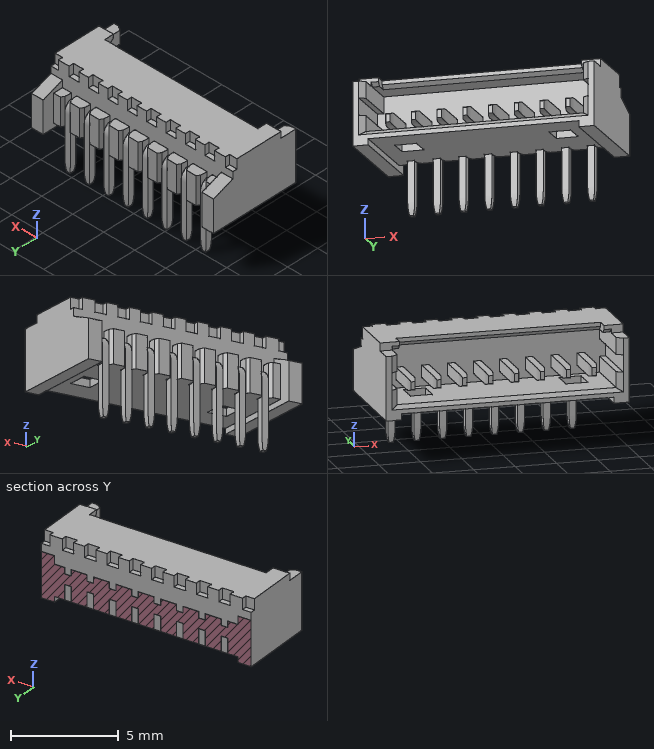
import cadquery as cq
import math


width = 11.75
depth = 5.5
height = 3.5
overall_height = 5.8
shoulder_height = 3.11
shoulder_depth = 1.0
rear_wall_y = 4.21
ear_slope_bottom = 2.01
ear_slope_top = 2.48
foot_width = 0.75
foot_height = 0.29

ledge_y = 4.79
ledge_top = 2.03

side_wall = 0.29
rib_thickness = 0.29
rib_inset = side_wall + rib_thickness
groove_bottom = 1.47
groove_top = 2.3
floor_z = 0.7
cavity_back_y = 2.94
edge_chamfer = 0.19
roof_recess_inset = 0.94
roof_recess_depth = 1.57

pin_count = 8
pin_span = 8.75
pitch = pin_span / (pin_count - 1)
pin_width = 0.35
pin_height = 0.6
pin_bottom = 1.12
pin_top = pin_bottom + pin_height
pin_front_y = 0.68
pin_taper = 0.41
pin_tip_width = 0.2
pin_tip_height = 0.38
leg_rear_y = 4.64
leg_thickness = 0.38
leg_front_y = leg_rear_y - leg_thickness
leg_bottom = height - overall_height
leg_taper = 0.61
leg_tip_width = 0.2
leg_tip_thickness = 0.27
elbow_radius = 0.59

pocket_width = 0.63
pocket_depth = 0.29
notch_height = 0.6
corner_notch_width = 0.48
corner_notch_depth = 0.27
leg_slot_width = 0.4
leg_slot_flare = 0.19
leg_slot_taper = 0.19

window_front_y = 1.43
window_back_y = 2.58
window_width = 1.06

pin_positions = [i * pitch - pin_span / 2 for i in range(pin_count)]


def block(x, y, z):
    """Box spanning the given (low, high) pairs."""
    size = (x[1] - x[0], y[1] - y[0], z[1] - z[0])
    return cq.Workplane("XY").box(*size, centered=False).translate((x[0], y[0], z[0]))


def side_prism(points, prism_width):
    """Outline in (Y, Z), extruded symmetrically along X."""
    return cq.Workplane("YZ").polyline(points).close().extrude(prism_width / 2, both=True)


def make_shell():
    """Outer housing: side profile with ears, rear ledge and feet."""
    shell = side_prism(
        [
            (0, 0),
            (depth, 0),
            (depth, ear_slope_bottom),
            (rear_wall_y, ear_slope_top),
            (rear_wall_y, height),
            (shoulder_depth, height),
            (shoulder_depth, shoulder_height),
            (0, shoulder_height),
        ],
        width,
    )
    inner = (foot_width - width / 2, width / 2 - foot_width)
    shell = shell.cut(block(inner, (ledge_y, depth), (0, height)))
    shell = shell.cut(block(inner, (rear_wall_y, depth), (ledge_top, height)))
    return shell.cut(block(inner, (0, depth), (0, foot_height)))


def make_cavity():
    """Cavity open to the front and partly to the top, with a polarising groove in each side."""
    half_width = width / 2 - rib_inset
    half_mouth = width / 2 - side_wall
    half_recess = width / 2 - roof_recess_inset
    across = (-half_width, half_width)
    cavity = block(across, (0, cavity_back_y), (floor_z, shoulder_height))
    cavity = cavity.union(
        block((-half_mouth, half_mouth), (0, cavity_back_y), (groove_bottom, groove_top))
    )
    cavity = cavity.union(block(across, (0, shoulder_depth), (floor_z, height)))
    cavity = cavity.union(
        block((-half_recess, half_recess), (0, roof_recess_depth), (floor_z, height))
    )

    flare_bottom = floor_z - edge_chamfer
    flare = (
        cq.Workplane("XZ")
        .moveTo(0, (flare_bottom + height) / 2)
        .rect(2 * half_mouth, height - flare_bottom)
        .workplane(offset=-edge_chamfer, origin=(0, 0, 0))
        .moveTo(0, (floor_z + height) / 2)
        .rect(2 * half_width, height - floor_z)
        .loft(ruled=True)
    )
    cavity = cavity.union(flare)

    for edge_y, half_span in ((shoulder_depth, half_width), (roof_recess_depth, half_recess)):
        cavity = cavity.union(
            side_prism(
                [
                    (edge_y, shoulder_height),
                    (edge_y, shoulder_height + edge_chamfer),
                    (edge_y + edge_chamfer, shoulder_height),
                ],
                2 * half_span,
            )
        )
    return cavity


def rear_notches():
    """Notches in the rear top edge and leg slots in the ledge."""
    low_z = height - notch_height
    notches = []
    half = width / 2
    for x in ((-half, corner_notch_width - half), (half - corner_notch_width, half)):
        notches.append(
            block(x, (rear_wall_y - corner_notch_depth, rear_wall_y), (low_z, height))
        )
    flare_half = pocket_width / 2
    slot_half = leg_slot_width / 2
    pin_half = pin_width / 2
    flare_y = ledge_y - leg_slot_flare
    taper_y = flare_y - leg_slot_taper
    for x in pin_positions:
        notches.append(
            block(
                (x - flare_half, x + flare_half),
                (rear_wall_y - pocket_depth, rear_wall_y),
                (low_z, height),
            )
        )
        notches.append(
            cq.Workplane("XY")
            .polyline(
                [
                    (x - pin_half, rear_wall_y),
                    (x + pin_half, rear_wall_y),
                    (x + pin_half, taper_y),
                    (x + slot_half, flare_y),
                    (x + flare_half, ledge_y),
                    (x - flare_half, ledge_y),
                    (x - slot_half, flare_y),
                    (x - pin_half, taper_y),
                ]
            )
            .close()
            .extrude(height)
        )
    return notches


def floor_windows():
    """Openings through the floor between the two outermost contacts at each end."""
    windows = []
    for first, second in (pin_positions[:2], pin_positions[-2:]):
        middle = (first + second) / 2
        across = (middle - window_width / 2, middle + window_width / 2)
        windows.append(block(across, (window_front_y, window_back_y), (0, floor_z)))
    return windows


def rounded_taper(plane, base, tip, length, thickness):
    """Plate narrowing from base to tip along the plane's -Y, with sides that curve in smoothly."""
    inset = (base - tip) / 2
    side_radius = (length**2 + inset**2) / (2 * inset)
    mid_half = base / 2 - side_radius + math.sqrt(side_radius**2 - (length / 2) ** 2)
    return (
        cq.Workplane(plane)
        .moveTo(base / 2, 0)
        .lineTo(-base / 2, 0)
        .threePointArc((-mid_half, -length / 2), (-tip / 2, -length))
        .lineTo(tip / 2, -length)
        .threePointArc((mid_half, -length / 2), (base / 2, 0))
        .close()
        .extrude(thickness / 2, both=True)
    )


def make_contact():
    """Bent contact at X = 0 with tapered ends."""
    bar = block(
        (-pin_width / 2, pin_width / 2),
        (pin_front_y + pin_taper, leg_rear_y),
        (pin_bottom, pin_top),
    )
    leg = block(
        (-pin_width / 2, pin_width / 2),
        (leg_front_y, leg_rear_y),
        (leg_bottom + leg_taper, pin_top),
    )
    contact = bar.union(leg).edges(">Y and >Z").fillet(elbow_radius)
    pin_tip = (
        rounded_taper("XY", pin_width, pin_tip_width, pin_taper, pin_height)
        .intersect(rounded_taper("ZY", pin_height, pin_tip_height, pin_taper, pin_width))
        .translate((0, pin_front_y + pin_taper, (pin_bottom + pin_top) / 2))
    )
    leg_tip = (
        rounded_taper("XZ", pin_width, leg_tip_width, leg_taper, leg_thickness)
        .intersect(rounded_taper("YZ", leg_thickness, leg_tip_thickness, leg_taper, pin_width))
        .translate((0, (leg_front_y + leg_rear_y) / 2, leg_bottom + leg_taper))
    )
    return contact.union(pin_tip).union(leg_tip)


result = make_shell().cut(make_cavity())
for cutter in rear_notches() + floor_windows():
    result = result.cut(cutter)

contact = make_contact()
for x in pin_positions:
    result = result.union(contact.translate((x, 0, 0)))